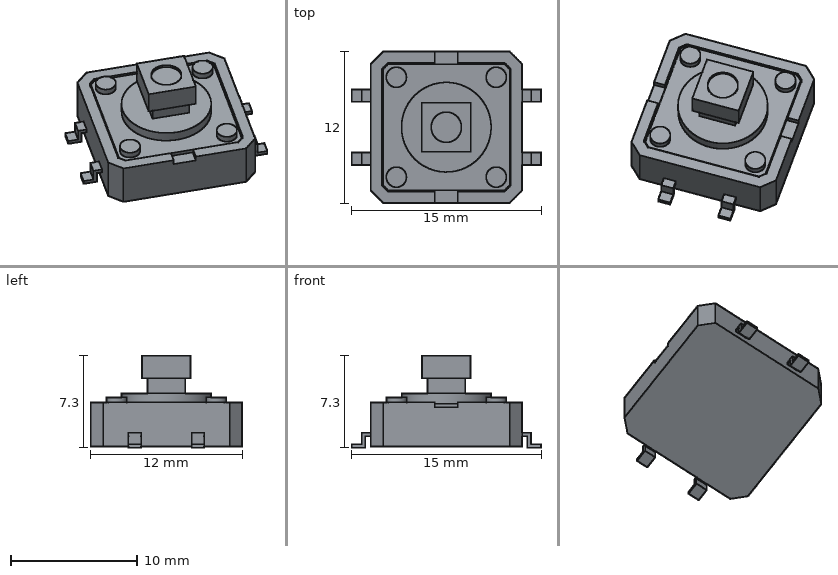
import cadquery as cq

body_size = 12.0
body_height = 3.5
body_corner = 1.0

recess_size = 10.2
recess_corner = 0.5
recess_depth = 0.4
plate_gap = 0.1
plate_size = recess_size - 2 * plate_gap
plate_corner = 0.4
plate_drop = 0.1
notch_width = 1.8

rivet_diameter = 1.6
rivet_height = 0.4
rivet_offset = 3.95

collar_diameter = 7.1
collar_height = 0.7
stem_size = 3.0
stem_height = 1.2
cap_size = 3.85
cap_height = 1.8
dimple_diameter = 2.4
dimple_depth = 0.2

lead_span = 15.0
lead_width = 1.0
lead_thickness = 0.3
lead_height = 1.2
lead_foot_length = 1.1
lead_offset_y = 2.5
lead_standoff = 0.1

recess_floor_z = body_height - recess_depth
plate_top_z = body_height - plate_drop
collar_top_z = body_height + collar_height
stem_top_z = collar_top_z + stem_height
cap_top_z = stem_top_z + cap_height


def square_block(size, bottom_z, top_z):
    """Square block centred on the Z axis."""
    return cq.Workplane("XY").workplane(offset=bottom_z).rect(size, size).extrude(top_z - bottom_z)


def cut_corner_block(size, corner, bottom_z, top_z):
    """Square block whose four vertical edges are chamfered."""
    return square_block(size, bottom_z, top_z).edges("|Z").chamfer(corner)


def make_housing():
    """Housing with its top recess and a notch through the rim on both Y sides."""
    housing = cut_corner_block(body_size, body_corner, 0, body_height)
    recess = cut_corner_block(recess_size, recess_corner, recess_floor_z, body_height)
    notches = (
        cq.Workplane("XY")
        .workplane(offset=recess_floor_z)
        .rect(notch_width, body_size)
        .extrude(recess_depth)
    )
    return housing.cut(recess).cut(notches)


def make_cover():
    """Cover plate with four rivet heads."""
    plate = cut_corner_block(plate_size, plate_corner, recess_floor_z, plate_top_z)
    rivets = (
        cq.Workplane("XY")
        .workplane(offset=recess_floor_z)
        .rect(2 * rivet_offset, 2 * rivet_offset, forConstruction=True)
        .vertices()
        .circle(rivet_diameter / 2)
        .extrude(recess_depth + rivet_height)
    )
    return plate.union(rivets)


def make_plunger():
    """Collar, stem and dimpled cap stacked on the Z axis."""
    collar = (
        cq.Workplane("XY")
        .workplane(offset=recess_floor_z)
        .circle(collar_diameter / 2)
        .extrude(collar_top_z - recess_floor_z)
    )
    stem = square_block(stem_size, collar_top_z, stem_top_z)
    cap = square_block(cap_size, stem_top_z, cap_top_z)
    dimple = (
        cq.Workplane("XY")
        .workplane(offset=cap_top_z)
        .circle(dimple_diameter / 2)
        .extrude(-dimple_depth)
    )
    return collar.union(stem).union(cap).cut(dimple)


def make_lead(side, center_y):
    """Z-bent terminal; side is +1 or -1 for the X side it leaves from."""
    tip_x = side * lead_span / 2
    heel_x = tip_x - side * lead_foot_length
    shin_x = heel_x + side * lead_thickness
    wall_x = side * body_size / 2
    bottom_z = -lead_standoff
    top_z = bottom_z + lead_height
    profile = [
        (tip_x, bottom_z),
        (heel_x, bottom_z),
        (heel_x, top_z - lead_thickness),
        (wall_x, top_z - lead_thickness),
        (wall_x, top_z),
        (shin_x, top_z),
        (shin_x, bottom_z + lead_thickness),
        (tip_x, bottom_z + lead_thickness),
    ]
    lead = cq.Workplane("XZ").polyline(profile).close().extrude(lead_width / 2, both=True)
    return lead.translate((0, center_y, 0))


result = make_housing().union(make_cover()).union(make_plunger())
for lead_side in (-1, 1):
    for lead_y in (-lead_offset_y, lead_offset_y):
        result = result.union(make_lead(lead_side, lead_y))